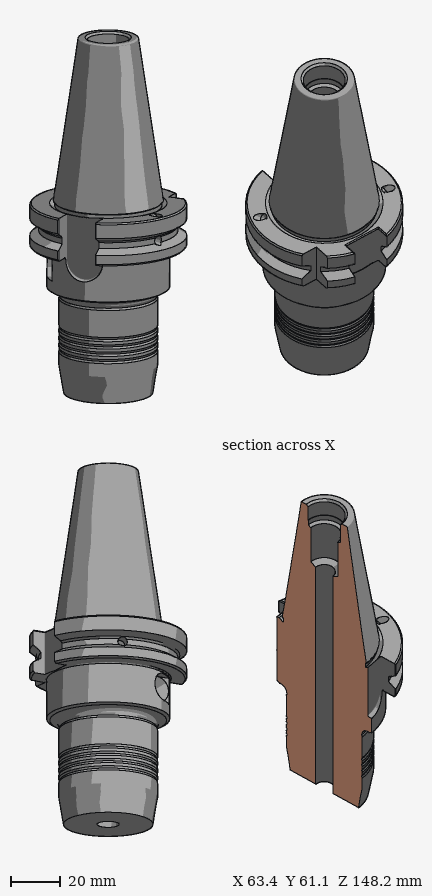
import cadquery as cq
import math

TOTAL_LENGTH = 148.2
GAUGE_Z = 80.2
GAUGE_RADIUS = 22.2
TAPER_SLOPE = 7 / 48
TIP_ROUND = 0.7

NECK_RADIUS = 21.6
NECK_CHAMFER = 0.5
UNDERCUT_RADIUS = 23.7
UNDERCUT_DEPTH = 1.0

FLANGE_RADIUS = 31.7
FLANGE_TOP = 79.0
FLANGE_BOTTOM = 61.1
FLANGE_TOP_CHAMFER = 0.6
FLANGE_BOTTOM_CHAMFER = 0.7
GROOVE_TOP = 72.6
GROOVE_BEND_RADIUS = 28.9
GROOVE_UPPER_BEND = 70.9
GROOVE_LOWER_BEND = 67.2
GROOVE_ROOT_TOP = 70.0
GROOVE_ROOT_BOTTOM = 67.6
GROOVE_BOTTOM = 65.5
GROOVE_ROOT_RADIUS = 28.2

BODY_RADIUS = 24.9
BODY_TOP_FILLET = 0.6
BODY_BOTTOM = 44.3
BODY_CHAMFER_RADIUS = 23.5
BODY_CHAMFER_Z = 43.6
SLEEVE_RADIUS = 20.0
SLEEVE_TOP = 41.2
BLEND_MIDPOINT = (20.6, 42.7)
SLEEVE_TAPER_TOP = 11.5
NOSE_RADIUS = 18.1

RING_HALF_WIDTH = 0.9
RING_DEPTH = 0.3
RING_TOP_Z = 27.3
RING_BOTTOM_Z = 18.1
RING_COUNT = 4
RING_PITCH = (RING_TOP_Z - RING_BOTTOM_Z) / (RING_COUNT - 1)
NECK_RING_Z = SLEEVE_TOP - RING_HALF_WIDTH

ENTRY_RADIUS = 9.3
ENTRY_CHAMFER = 0.9
PILOT_DEPTH = 8.0
COUNTERBORE_RADIUS = 8.3
COUNTERBORE_DEPTH = 10.5
THREAD_BORE_RADIUS = 7.0
THREAD_BORE_DEPTH = 29.6
THROUGH_RADIUS = 4.5
DRILL_HALF_ANGLE = math.radians(59)

SLOT_HALF_WIDTH = 8.2
SLOT_FLOOR_FILLET = 0.5
SLOT_EDGE_CHAMFER = 0.5
FRONT_SLOT_Y = -23.0
SLOT_END_Z = 52.2
REAR_SLOT_Y = 25.0
NOTCH_X = 18.4
NOTCH_Y = 18.5

SCREW_Y = -12.9
SCREW_Z = 54.5
SCREW_RADIUS = 5.5
SCREW_FLOOR_X = -16.5

COOLANT_ANGLES = (160, 340)
OUTLET_RADIUS = 2.0
OUTLET_PITCH_RADIUS = 27.0
OUTLET_TILT = math.radians(50)
OUTLET_DEPTH = 1.8
PLUG_RADIUS = 2.0
PLUG_Z = 68.8
PLUG_DEPTH = 5.2

CLEARANCE = 4.5


def drill_point(radius_change):
    """Height of a drill point cone over a change of radius."""
    return radius_change / math.tan(DRILL_HALF_ANGLE)


def outer_body():
    """Turned outside shape from the nose to the small taper end."""
    tip_radius = GAUGE_RADIUS - TAPER_SLOPE * (TOTAL_LENGTH - GAUGE_Z)
    profile = (
        cq.Workplane("XZ")
        .moveTo(0, 0)
        .lineTo(NOSE_RADIUS, 0)
        .lineTo(SLEEVE_RADIUS, SLEEVE_TAPER_TOP)
        .lineTo(SLEEVE_RADIUS, SLEEVE_TOP)
        .threePointArc(BLEND_MIDPOINT, (BODY_CHAMFER_RADIUS, BODY_CHAMFER_Z))
        .lineTo(BODY_RADIUS, BODY_BOTTOM)
        .lineTo(BODY_RADIUS, FLANGE_BOTTOM - BODY_TOP_FILLET)
        .radiusArc((BODY_RADIUS + BODY_TOP_FILLET, FLANGE_BOTTOM), BODY_TOP_FILLET)
        .lineTo(FLANGE_RADIUS - FLANGE_BOTTOM_CHAMFER, FLANGE_BOTTOM)
        .lineTo(FLANGE_RADIUS, FLANGE_BOTTOM + FLANGE_BOTTOM_CHAMFER)
        .lineTo(FLANGE_RADIUS, GROOVE_BOTTOM)
        .lineTo(GROOVE_BEND_RADIUS, GROOVE_LOWER_BEND)
        .lineTo(GROOVE_ROOT_RADIUS, GROOVE_ROOT_BOTTOM)
        .lineTo(GROOVE_ROOT_RADIUS, GROOVE_ROOT_TOP)
        .lineTo(GROOVE_BEND_RADIUS, GROOVE_UPPER_BEND)
        .lineTo(FLANGE_RADIUS, GROOVE_TOP)
        .lineTo(FLANGE_RADIUS, FLANGE_TOP - FLANGE_TOP_CHAMFER)
        .lineTo(FLANGE_RADIUS - FLANGE_TOP_CHAMFER, FLANGE_TOP)
        .lineTo(UNDERCUT_RADIUS, FLANGE_TOP)
        .lineTo(NECK_RADIUS, FLANGE_TOP - UNDERCUT_DEPTH)
        .lineTo(NECK_RADIUS, GAUGE_Z - NECK_CHAMFER)
        .lineTo(GAUGE_RADIUS, GAUGE_Z)
        .lineTo(tip_radius, TOTAL_LENGTH - TIP_ROUND)
        .radiusArc((tip_radius - TIP_ROUND, TOTAL_LENGTH), -TIP_ROUND)
        .lineTo(0, TOTAL_LENGTH)
        .close()
    )
    return profile.revolve(360, (0, 0, 0), (0, 1, 0))


def sleeve_ring(z):
    """V groove around the sleeve, centred at height z."""
    profile = (
        cq.Workplane("XZ")
        .moveTo(SLEEVE_RADIUS - RING_DEPTH, z)
        .lineTo(SLEEVE_RADIUS, z + RING_HALF_WIDTH)
        .lineTo(SLEEVE_RADIUS + CLEARANCE, z + RING_HALF_WIDTH)
        .lineTo(SLEEVE_RADIUS + CLEARANCE, z - RING_HALF_WIDTH)
        .lineTo(SLEEVE_RADIUS, z - RING_HALF_WIDTH)
        .close()
    )
    return profile.revolve(360, (0, 0, 0), (0, 1, 0))


def bore():
    """Stepped bore from the small taper end, with a through hole to the nose."""
    pilot_radius = ENTRY_RADIUS - ENTRY_CHAMFER
    counterbore_z = TOTAL_LENGTH - COUNTERBORE_DEPTH
    thread_z = TOTAL_LENGTH - THREAD_BORE_DEPTH
    profile = (
        cq.Workplane("XZ")
        .moveTo(0, 0)
        .lineTo(THROUGH_RADIUS, 0)
        .lineTo(THROUGH_RADIUS, thread_z - drill_point(THREAD_BORE_RADIUS - THROUGH_RADIUS))
        .lineTo(THREAD_BORE_RADIUS, thread_z)
        .lineTo(THREAD_BORE_RADIUS, counterbore_z - drill_point(COUNTERBORE_RADIUS - THREAD_BORE_RADIUS))
        .lineTo(COUNTERBORE_RADIUS, counterbore_z)
        .lineTo(COUNTERBORE_RADIUS, TOTAL_LENGTH - PILOT_DEPTH)
        .lineTo(pilot_radius, TOTAL_LENGTH - PILOT_DEPTH)
        .lineTo(pilot_radius, TOTAL_LENGTH - ENTRY_CHAMFER)
        .lineTo(ENTRY_RADIUS, TOTAL_LENGTH)
        .lineTo(0, TOTAL_LENGTH)
        .close()
    )
    return profile.revolve(360, (0, 0, 0), (0, 1, 0))


def drive_slot(floor_y):
    """Round-ended slot cutter from floor_y outwards, with filleted floor edges."""
    top_z = FLANGE_TOP + CLEARANCE
    centre_z = SLOT_END_Z + SLOT_HALF_WIDTH
    side = math.copysign(1, floor_y)
    cutter = (
        cq.Workplane("XZ", origin=(0, floor_y, 0))
        .moveTo(-SLOT_HALF_WIDTH, top_z)
        .lineTo(-SLOT_HALF_WIDTH, centre_z)
        .threePointArc((0, SLOT_END_Z), (SLOT_HALF_WIDTH, centre_z))
        .lineTo(SLOT_HALF_WIDTH, top_z)
        .close()
        .extrude(-side * FLANGE_RADIUS)
    )
    floor = "<Y" if side > 0 else ">Y"
    return cutter.faces(floor).edges("not(>Z)").fillet(SLOT_FLOOR_FILLET)


def front_slot_rim_chamfer():
    """Wedge that breaks the vertical edges where the front slot meets the flange rim."""
    rim_y = -math.sqrt(FLANGE_RADIUS**2 - SLOT_HALF_WIDTH**2)
    inner_y = rim_y + SLOT_EDGE_CHAMFER
    outer_y = inner_y - CLEARANCE
    outer_half_width = SLOT_HALF_WIDTH + CLEARANCE
    return (
        cq.Workplane("XY", origin=(0, 0, FLANGE_BOTTOM))
        .polyline([
            (-SLOT_HALF_WIDTH, inner_y),
            (SLOT_HALF_WIDTH, inner_y),
            (outer_half_width, outer_y),
            (-outer_half_width, outer_y),
        ])
        .close()
        .extrude(FLANGE_TOP - FLANGE_BOTTOM)
    )


def rear_slot_face_chamfer():
    """Sloped cutter that breaks the edges where the rear slot meets the flange face."""
    face_half_width = SLOT_HALF_WIDTH + SLOT_EDGE_CHAMFER
    face_floor_y = REAR_SLOT_Y - SLOT_EDGE_CHAMFER
    length = FLANGE_RADIUS - face_floor_y
    return (
        cq.Workplane("XY", origin=(-face_half_width, face_floor_y, FLANGE_TOP))
        .rect(2 * face_half_width, 2 * length, centered=False)
        .extrude(-SLOT_EDGE_CHAMFER, taper=45)
    )


def orientation_notch():
    """Square corner cut through the flange in the +X +Y quadrant."""
    height = FLANGE_TOP - FLANGE_BOTTOM
    return cq.Workplane("XY", origin=(NOTCH_X, NOTCH_Y, FLANGE_BOTTOM)).box(
        FLANGE_RADIUS, FLANGE_RADIUS, height, centered=False
    )


def drilled_hole(mouth, direction, radius, depth):
    """Blind hole with a drill point, entering at mouth along the unit vector direction."""
    entry = cq.Vector(*mouth)
    axis = cq.Vector(*direction)
    start = entry - axis * CLEARANCE
    floor = entry + axis * depth
    shank = cq.Solid.makeCylinder(radius, depth + CLEARANCE, start, axis)
    point = cq.Solid.makeCone(radius, 0, drill_point(radius), floor, axis)
    return cq.Workplane(shank.fuse(point))


def screw_pocket():
    """Drilled seat whose flat floor level runs out through the -Y side."""
    seat_depth = SCREW_FLOOR_X + BODY_RADIUS
    hole = drilled_hole((-BODY_RADIUS, SCREW_Y, SCREW_Z), (1, 0, 0), SCREW_RADIUS, seat_depth)
    relief = cq.Workplane(
        "XY", origin=(SCREW_FLOOR_X - BODY_RADIUS, SCREW_Y - BODY_RADIUS, SCREW_Z - SCREW_RADIUS)
    ).box(BODY_RADIUS, BODY_RADIUS, 2 * SCREW_RADIUS, centered=False)
    return hole.union(relief)


def coolant_holes(angle):
    """Tilted outlet in the flange face and radial plug hole in the groove."""
    outlet_axis = (-math.sin(OUTLET_TILT), 0, -math.cos(OUTLET_TILT))
    outlet = drilled_hole((OUTLET_PITCH_RADIUS, 0, FLANGE_TOP), outlet_axis, OUTLET_RADIUS, OUTLET_DEPTH)
    plug = drilled_hole((GROOVE_ROOT_RADIUS, 0, PLUG_Z), (-1, 0, 0), PLUG_RADIUS, PLUG_DEPTH)
    return outlet.union(plug).rotate((0, 0, 0), (0, 0, 1), angle)


ring_heights = [RING_TOP_Z - i * RING_PITCH for i in range(RING_COUNT)]

result = outer_body().cut(bore())
for z in [NECK_RING_Z] + ring_heights:
    result = result.cut(sleeve_ring(z))
result = result.cut(drive_slot(FRONT_SLOT_Y))
result = result.cut(drive_slot(REAR_SLOT_Y))
result = result.cut(front_slot_rim_chamfer()).cut(rear_slot_face_chamfer())
result = result.cut(orientation_notch()).cut(screw_pocket())
for angle in COOLANT_ANGLES:
    result = result.cut(coolant_holes(angle))